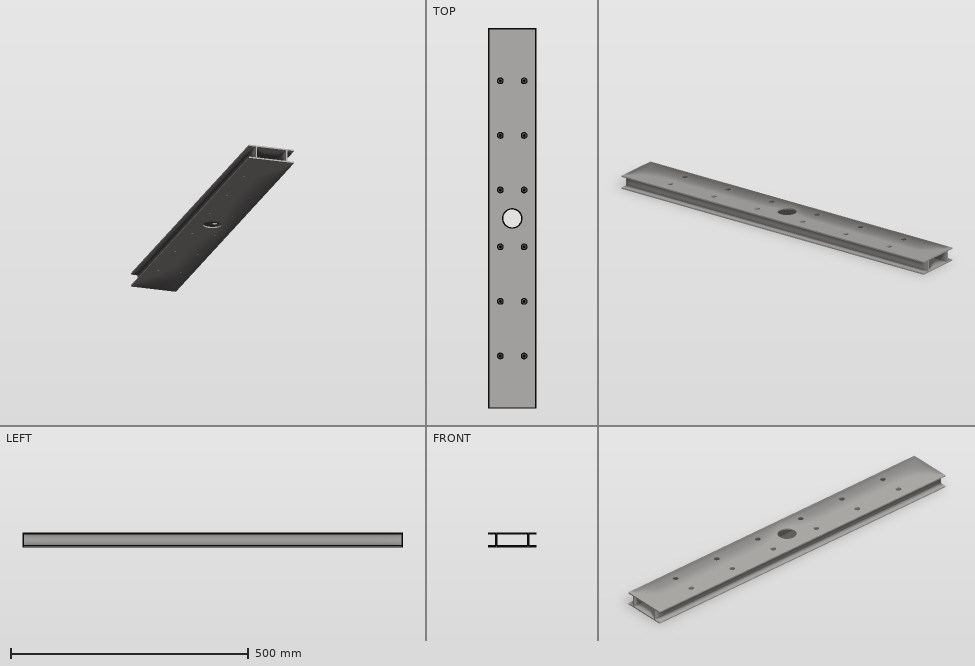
import cadquery as cq

width = 100.0
length = 800.0
height = 30.0

plate_thickness = 3.0
web_thickness = 3.0
web_outer_spacing = 70.0

center_hole_diameter = 40.0
access_hole_diameter = 12.0
screw_hole_diameter = 3.0
hole_row_spacing = 50.0
first_hole_offset = 60.0
hole_pitch = 115.0
holes_per_half_row = 3

web_height = height - 2 * plate_thickness
plate_center_z = (height - plate_thickness) / 2
web_center_x = (web_outer_spacing - web_thickness) / 2


def make_plate(center_z):
    """Full-size horizontal plate."""
    return cq.Workplane("XY").box(width, length, plate_thickness).translate((0, 0, center_z))


def make_web(center_x):
    """Upright web joining the two plates along the whole length."""
    return cq.Workplane("XY").box(web_thickness, length, web_height).translate((center_x, 0, 0))


def hole_points():
    """Centres of the two hole rows, mirrored about the middle of the length."""
    points = []
    for x_side in (-1, 1):
        for y_side in (-1, 1):
            for index in range(holes_per_half_row):
                x = x_side * hole_row_spacing / 2
                y = y_side * (first_hole_offset + index * hole_pitch)
                points.append((x, y))
    return points


def drill(body, points, diameter, bottom_z, top_z):
    """Cut vertical round holes between two heights."""
    plane = cq.Workplane("XY").workplane(offset=bottom_z)
    return body.cut(plane.pushPoints(points).circle(diameter / 2).extrude(top_z - bottom_z))


beam = make_plate(plate_center_z).union(make_plate(-plate_center_z))
for side in (-1, 1):
    beam = beam.union(make_web(side * web_center_x))

beam = drill(beam, [(0, 0)], center_hole_diameter, -height / 2, height / 2)

beam = drill(beam, hole_points(), access_hole_diameter, web_height / 2, height / 2)
beam = drill(beam, hole_points(), screw_hole_diameter, -height / 2, -web_height / 2)

result = beam